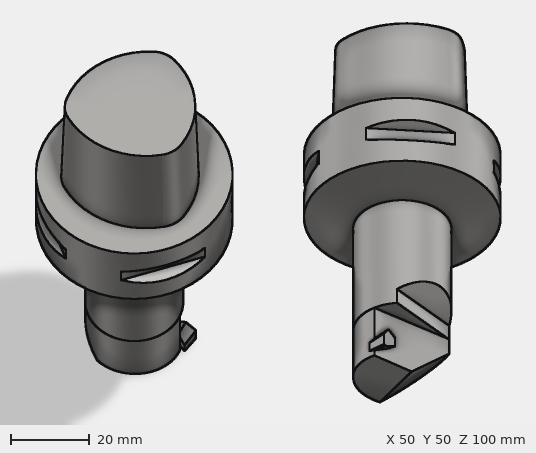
import cadquery as cq
import math

BLOCK_REACH = 40.0

TAPER_LENGTH = 30.0
LOBE_RADIUS = 18.6
LOBE_END_RADIUS = 18.2
FLANK_RADIUS = 16.4
TAPER_INSET = 0.9
LOBE_HALF_ANGLE = 10.0
LOBE_ANGLES = (90.0, 210.0, 330.0)
LOBE_SPACING = 120.0

FLANGE_RADIUS = 25.0
FLANGE_HEIGHT = 19.6
CONE_END_Z = -23.0
SLOT_CENTER_Z = -10.0
SLOT_FLOOR_RADIUS = 22.3
SLOT_FLOOR_WIDTH = 3.6
SLOT_MOUTH_WIDTH = 6.4
SLOT_ANGLES = (45.0, 135.0, 225.0, 315.0)

SHANK_RADIUS = 12.5
SHANK_END_Z = -55.0
FLAT_Y = 6.9
SHOULDER_OUTER_Z = -46.7
SHOULDER_INNER_Z = -50.7

HEAD_END_Z = -70.0
POCKET_ANGLE = 14.5
POCKET_Y = 4.3
END_FACE_Z = -69.8
END_FACE_ANGLE = 3.0
RELIEF_Z = -70.2
RELIEF_NORMAL = (-0.85, 0.28, -1.0)

INSERT_TIP_X = 14.5
INSERT_TIP_Z = -69.7
INSERT_NOSE_X = 13.6
INSERT_BACK_X = 8.0
INSERT_TOP_Y = 6.0
INSERT_DEPTH = 6.0
INSERT_SHOULDER_Z = -66.3
INSERT_UPPER_X = 12.0
INSERT_UPPER_Z = -63.3
INSERT_CLEARANCE = 7.0
RAKE_ANGLE = 14.5


def polar(radius, angle):
    """Point in a plane from its radius and angle in degrees."""
    return radius * math.cos(math.radians(angle)), radius * math.sin(math.radians(angle))


def half_space(origin, normal):
    """Large block on the side of a plane that the normal points to."""
    plane = cq.Plane(origin=origin, normal=normal)
    return cq.Workplane(plane).rect(2 * BLOCK_REACH, 2 * BLOCK_REACH).extrude(BLOCK_REACH)


def lobed_outline(z, inset):
    """Closed wire of three lobe arcs joined by three flank arcs."""
    lobe_end = LOBE_END_RADIUS - inset
    outline = cq.Workplane("XY", origin=(0, 0, z))
    outline = outline.moveTo(*polar(lobe_end, LOBE_ANGLES[0] - LOBE_HALF_ANGLE))
    for angle in LOBE_ANGLES:
        outline = outline.threePointArc(
            polar(LOBE_RADIUS - inset, angle),
            polar(lobe_end, angle + LOBE_HALF_ANGLE),
        )
        outline = outline.threePointArc(
            polar(FLANK_RADIUS - inset, angle + LOBE_SPACING / 2),
            polar(lobe_end, angle + LOBE_SPACING - LOBE_HALF_ANGLE),
        )
    return outline.close().wires().val()


def make_taper():
    wires = [lobed_outline(0, 0), lobed_outline(TAPER_LENGTH, TAPER_INSET)]
    return cq.Workplane(cq.Solid.makeLoft(wires, True))


def make_gripper_slot(angle):
    """Straight trapezoidal groove across the flange rim."""
    floor_half = SLOT_FLOOR_WIDTH / 2
    mouth_half = SLOT_MOUTH_WIDTH / 2
    return (
        cq.Workplane("XZ", origin=(0, FLANGE_RADIUS, SLOT_CENTER_Z))
        .polyline([
            (SLOT_FLOOR_RADIUS, -floor_half),
            (FLANGE_RADIUS, -mouth_half),
            (FLANGE_RADIUS, mouth_half),
            (SLOT_FLOOR_RADIUS, floor_half),
        ])
        .close()
        .extrude(2 * FLANGE_RADIUS)
        .rotate((0, 0, 0), (0, 0, 1), angle)
    )


def make_body_of_revolution():
    """Flange, cone under it and plain shank."""
    return (
        cq.Workplane("XZ")
        .polyline([
            (0, 0),
            (FLANGE_RADIUS, 0),
            (FLANGE_RADIUS, -FLANGE_HEIGHT),
            (SHANK_RADIUS, CONE_END_Z),
            (SHANK_RADIUS, SHANK_END_Z),
            (0, SHANK_END_Z),
        ])
        .close()
        .revolve(360, (0, 0), (0, 1))
    )


def make_shank_relief():
    """Flat on the +Y side of the shank, with its sloping shoulder."""
    return (
        cq.Workplane("YZ", origin=(-SHANK_RADIUS, 0, 0))
        .polyline([
            (FLAT_Y, SHANK_END_Z),
            (FLAT_Y, SHOULDER_INNER_Z),
            (SHANK_RADIUS, SHOULDER_OUTER_Z),
            (SHANK_RADIUS, SHANK_END_Z),
        ])
        .close()
        .extrude(2 * SHANK_RADIUS)
    )


def make_holder():
    holder = make_body_of_revolution().union(make_taper())
    for angle in SLOT_ANGLES:
        holder = holder.cut(make_gripper_slot(angle))
    return holder.cut(make_shank_relief())


def above_pocket_floor():
    """Space over the sloping pocket floor of the head."""
    slope = math.radians(POCKET_ANGLE)
    return half_space((0, POCKET_Y, SHANK_END_Z), (math.sin(slope), math.cos(slope), 0))


def make_head():
    tilt = math.radians(END_FACE_ANGLE)
    head = cq.Workplane("XY", origin=(0, 0, SHANK_END_Z)).circle(SHANK_RADIUS).extrude(HEAD_END_Z - SHANK_END_Z)
    head = head.cut(half_space((0, FLAT_Y, SHANK_END_Z), (0, 1, 0)))
    head = head.cut(above_pocket_floor())
    head = head.cut(half_space((0, 0, END_FACE_Z), (0, -math.sin(tilt), -math.cos(tilt))))
    return head.cut(half_space((0, 0, RELIEF_Z), RELIEF_NORMAL))


def make_insert():
    """Insert with clearance flanks, lying on the pocket floor under a raked top."""
    rake = math.radians(RAKE_ANGLE)
    blank = (
        cq.Workplane("XZ", origin=(0, INSERT_TOP_Y, 0))
        .polyline([
            (INSERT_BACK_X, INSERT_SHOULDER_Z),
            (INSERT_NOSE_X, INSERT_TIP_Z),
            (INSERT_TIP_X, INSERT_TIP_Z),
            (INSERT_TIP_X, INSERT_SHOULDER_Z),
            (INSERT_UPPER_X, INSERT_UPPER_Z),
            (INSERT_BACK_X, INSERT_UPPER_Z),
        ])
        .close()
        .extrude(INSERT_DEPTH, taper=INSERT_CLEARANCE)
    )
    rake_edge = (INSERT_TIP_X, INSERT_TOP_Y, INSERT_TIP_Z)
    blank = blank.cut(half_space(rake_edge, (-math.sin(rake), math.cos(rake), 0)))
    return blank.intersect(above_pocket_floor())


holder = make_holder()
head = make_head()
insert = make_insert()
result = cq.Compound.makeCompound([part.solids().val() for part in (holder, head, insert)])